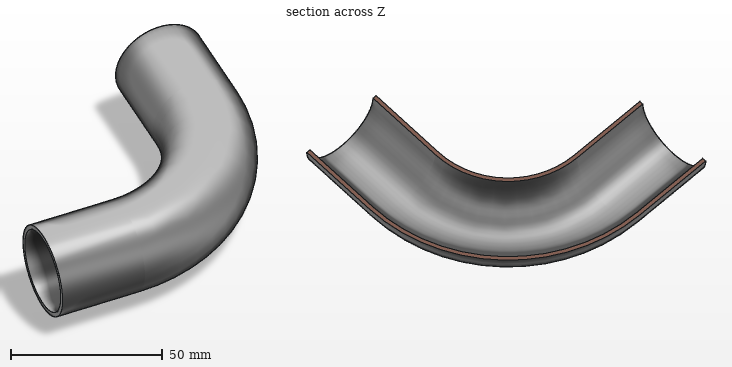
import cadquery as cq

overall_length = 93.5
outer_diameter = 31.8
inner_diameter = 28.7
straight_length = 30.0

bend_radius = overall_length - straight_length - outer_diameter / 2
bend_angle = 90


def elbow(diameter):
    """Solid round bar: a leg along X, a quarter bend, then a leg along -Y."""
    inlet_leg = cq.Workplane("YZ").circle(diameter / 2).extrude(straight_length)
    bend = (
        cq.Workplane("YZ", origin=(straight_length, 0, 0))
        .circle(diameter / 2)
        .revolve(bend_angle, (-bend_radius, 0, 0), (-bend_radius, -1, 0))
    )
    outlet_leg = (
        cq.Workplane("XZ", origin=(straight_length + bend_radius, -bend_radius, 0))
        .circle(diameter / 2)
        .extrude(straight_length)
    )
    return inlet_leg.union(bend).union(outlet_leg)


result = elbow(outer_diameter).cut(elbow(inner_diameter))